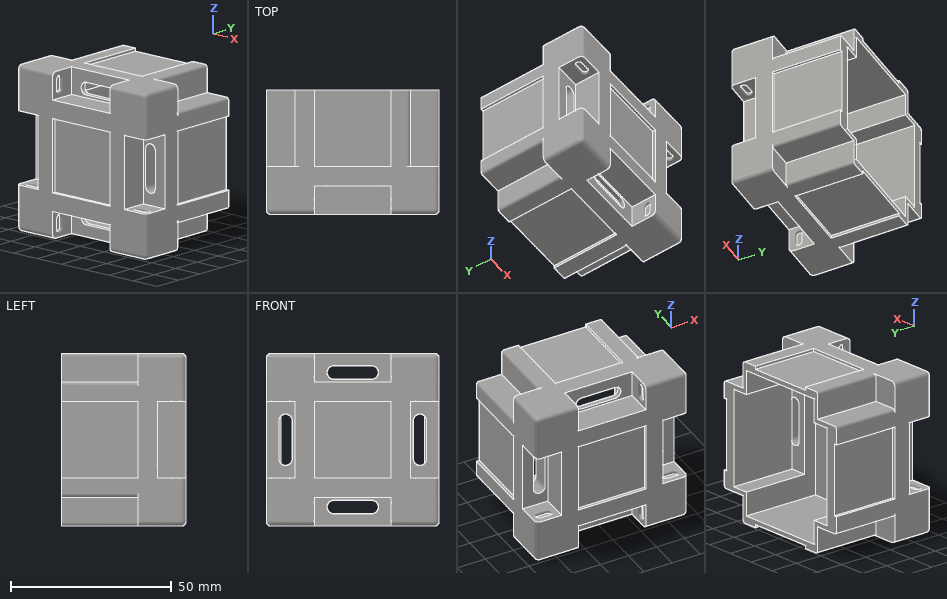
import cadquery as cq

SIDE = 54.0
DEPTH = 39.0
HALF = SIDE / 2
FRONT = -DEPTH / 2
BACK = DEPTH / 2

OUTER_FILLET = 1.5
NOTCH_FILLET = 1.0

PANEL = 24.0
PANEL_RECESS = 1.0
POCKET = 8.95

NOTCH = 9.0
NOTCH_LENGTH = PANEL

SLOT_LENGTH = 16.0
SLOT_WIDTH = 4.1
SLOT_OFFSET = 21.0

FRONT_BLOCK = DEPTH - NOTCH_LENGTH

SMALL_SLOT_SPAN = 3.1
SMALL_SLOT_SETBACK = 3.35
SMALL_SLOT_WIDTH = 2.2
SMALL_SLOT_DEPTH = 1.0
RIM_FILLET = 0.55

WALL = 1.7
CAVITY_HALF_X = 22.35
CAVITY_HALF_Z = HALF - PANEL_RECESS - WALL
CAVITY_ARM = SIDE - 2 * (NOTCH + WALL)

QUARTER_TURNS = (0, 90, 180, 270)
ORIGIN = (0, 0, 0)
Y_AXIS = (0, 1, 0)


def block(x_range, y_range, z_range):
    """Box spanning the given low and high limits on each axis."""
    low, high = zip(x_range, y_range, z_range)
    size = [b - a for a, b in zip(low, high)]
    return cq.Workplane("XY").box(*size, centered=False).translate(low)


def turned(shape, angle):
    """Shape turned about the front-to-back axis."""
    return shape.rotate(ORIGIN, Y_AXIS, angle)


def make_body():
    """Rounded block with a notch along each of its four long edges."""
    body = cq.Workplane("XY").box(SIDE, DEPTH, SIDE)
    body = body.edges("|Y").fillet(OUTER_FILLET)
    body = body.faces("<Y").edges().fillet(OUTER_FILLET)
    notch_front = BACK - NOTCH_LENGTH
    inner = HALF - NOTCH
    for angle in QUARTER_TURNS:
        notch = block((inner, HALF), (notch_front, BACK), (inner, HALF))
        body = body.cut(turned(notch, angle))
    middle = (notch_front + BACK) / 2
    for side_x in (-1, 1):
        for side_z in (-1, 1):
            for x, z in ((HALF, inner), (inner, HALF)):
                notch_edge = cq.selectors.NearestToPointSelector((side_x * x, middle, side_z * z))
                body = body.edges(notch_edge).fillet(NOTCH_FILLET)
    return body


def front_panel():
    """Recess in the middle of the front face."""
    return block(
        (-PANEL / 2, PANEL / 2),
        (FRONT, FRONT + PANEL_RECESS),
        (-PANEL / 2, PANEL / 2),
    )


def side_panel():
    """Recess in the top face, open at the back."""
    return block(
        (-PANEL / 2, PANEL / 2),
        (BACK - NOTCH_LENGTH, BACK),
        (HALF - PANEL_RECESS, HALF),
    )


def handle_pocket():
    """Pocket in the middle of the top front edge, with a flared blind slot in each end wall."""
    pocket = block(
        (-PANEL / 2, PANEL / 2),
        (FRONT, FRONT + POCKET),
        (HALF - POCKET, HALF),
    )
    centre_y = FRONT + SMALL_SLOT_SETBACK
    centre_z = HALF - POCKET / 2
    slot_length = SMALL_SLOT_SPAN + SMALL_SLOT_WIDTH
    slots = (
        cq.Workplane("YZ")
        .center(centre_y, centre_z)
        .slot2D(slot_length, SMALL_SLOT_WIDTH, 90)
        .extrude(PANEL / 2 + SMALL_SLOT_DEPTH, both=True)
    )
    pocket = pocket.union(slots)
    for x in (-PANEL / 2, PANEL / 2):
        window = cq.selectors.BoxSelector(
            (x - RIM_FILLET / 2, centre_y - SMALL_SLOT_WIDTH, centre_z - slot_length / 2),
            (x + RIM_FILLET / 2, centre_y + SMALL_SLOT_WIDTH, centre_z + slot_length / 2),
        )
        pocket = pocket.edges(window).fillet(RIM_FILLET)
    return pocket


def handle_slot():
    """Rounded slot through the floor of the top pocket, as deep as the front corner blocks."""
    slot = cq.Workplane("XZ").center(0, SLOT_OFFSET).slot2D(SLOT_LENGTH, SLOT_WIDTH)
    return slot.extrude(-FRONT_BLOCK).translate((0, FRONT, 0))


def cavity():
    """Tall box behind the pocket floors, crossed by a wide box level with the notches."""
    tall_range = (FRONT + POCKET + WALL, BACK)
    wide_range = (FRONT + FRONT_BLOCK, BACK)
    arm = (-CAVITY_ARM / 2, CAVITY_ARM / 2)
    wide = block((-CAVITY_HALF_X, CAVITY_HALF_X), wide_range, arm)
    tall = block(arm, tall_range, (-CAVITY_HALF_Z, CAVITY_HALF_Z))
    return wide.union(tall)


result = make_body().cut(front_panel()).cut(cavity())
for angle in QUARTER_TURNS:
    for feature in (side_panel(), handle_pocket(), handle_slot()):
        result = result.cut(turned(feature, angle))